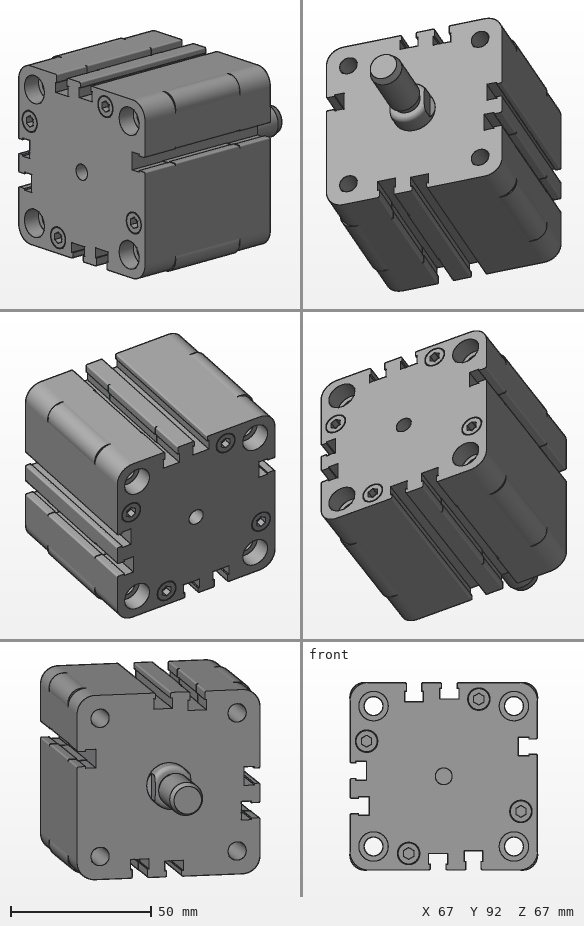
import cadquery as cq
WIDTH = 66.75
CORNER_SIZE = 6.5
CAP_CORNER_RADIUS = CORNER_SIZE
BARREL_CORNER_RADIUS = 5.5
CAP_LENGTH = 14.75
BARREL_LENGTH = 31.0
HALF_WIDTH = WIDTH / 2
HOUSING_LENGTH = BARREL_LENGTH + 2 * CAP_LENGTH

SLOT_NECK_WIDTH = 5.5
SLOT_POCKET_WIDTH = 6.7
SLOT_POCKET_HEIGHT = 3.7
SLOT_MOUTH_RADIUS = 0.6
CAP_DEEP_SLOT_OFFSET = -10.5
BARREL_DEEP_SLOT_OFFSET = -10.7
DEEP_SLOT_LIP = 3.1
SHALLOW_SLOT_OFFSET = 2.0
SHALLOW_SLOT_LIP = 2.1
SLOT_CLEARANCE = 1.0
SIDE_ANGLES = (0, 90, 180, 270)
SHALLOW_SLOT_ANGLES = (0, 90, 180)

MOUNT_SPACING = 50.0
MOUNT_HOLE_DIAMETER = 6.65
MOUNT_COUNTERBORE_DIAMETER = 10.5
MOUNT_COUNTERBORE_DEPTH = 6.8

SCREW_OFFSET = 12.5
SCREW_EDGE_DISTANCE = 5.9
SCREW_SEAT_DIAMETER = 8.0
SCREW_HEAD_DIAMETER = 7.5
SCREW_GAP_DEPTH = 4.0
HEX_CORNER_DIAMETER = 4.2
HEX_DEPTH = 3.0

CENTER_HOLE_DIAMETER = 6.0
CENTER_HOLE_DEPTH = 10.0

COLLAR_DIAMETER = 16.0
COLLAR_LENGTH = 7.5
COLLAR_FILLET = 1.9
FLATS_WIDTH = 13.0
NECK_DIAMETER = 10.0
THREAD_DIAMETER = 12.0
THREAD_START = 10.0
THREAD_RUNOUT = 0.6
ROD_LENGTH = 31.5
TIP_CHAMFER_LENGTH = 2.7


def front_plane(y):
    """Sketch plane at the given Y; local x is X, local y is Z, extrusion runs toward +Y."""
    return cq.Workplane("XZ", origin=(0, y, 0))


def prism(sketch, length):
    return sketch.extrude(-length)


def slot_cutter(offset, lip, angle, y, length):
    """Undercut slot opening through the top side, turned about Y to its own side."""
    neck = SLOT_NECK_WIDTH / 2
    mouth = neck + SLOT_MOUTH_RADIUS
    pocket = SLOT_POCKET_WIDTH / 2
    above = HALF_WIDTH + SLOT_CLEARANCE
    neck_top = HALF_WIDTH - SLOT_MOUTH_RADIUS
    lip_bottom = HALF_WIDTH - lip
    floor = lip_bottom - SLOT_POCKET_HEIGHT
    outline = (
        front_plane(y)
        .moveTo(offset - mouth, above)
        .lineTo(offset + mouth, above)
        .lineTo(offset + mouth, HALF_WIDTH)
        .radiusArc((offset + neck, neck_top), -SLOT_MOUTH_RADIUS)
        .lineTo(offset + neck, lip_bottom)
        .lineTo(offset + pocket, lip_bottom)
        .lineTo(offset + pocket, floor)
        .lineTo(offset - pocket, floor)
        .lineTo(offset - pocket, lip_bottom)
        .lineTo(offset - neck, lip_bottom)
        .lineTo(offset - neck, neck_top)
        .radiusArc((offset - mouth, HALF_WIDTH), -SLOT_MOUTH_RADIUS)
        .close()
    )
    return prism(outline, length).rotate((0, 0, 0), (0, 1, 0), -angle)


def rounded_square(y, corner_radius):
    """Square outline whose corner arcs all meet the sides at CORNER_SIZE from the corner."""
    a = HALF_WIDTH
    b = HALF_WIDTH - CORNER_SIZE
    outline = front_plane(y).moveTo(-b, a)
    for side_end, arc_end in [
        ((b, a), (a, b)),
        ((a, -b), (b, -a)),
        ((-b, -a), (-a, -b)),
        ((-a, b), (-b, a)),
    ]:
        outline = outline.lineTo(*side_end).radiusArc(arc_end, corner_radius)
    return outline.close()


def housing_section(y, length, corner_radius, deep_slot_offset):
    """One stretch of the slotted square profile."""
    section = prism(rounded_square(y, corner_radius), length)
    for angle in SIDE_ANGLES:
        section = section.cut(slot_cutter(deep_slot_offset, DEEP_SLOT_LIP, angle, y, length))
    for angle in SHALLOW_SLOT_ANGLES:
        section = section.cut(slot_cutter(SHALLOW_SLOT_OFFSET, SHALLOW_SLOT_LIP, angle, y, length))
    return section


def housing():
    cap_section = (CAP_CORNER_RADIUS, CAP_DEEP_SLOT_OFFSET)
    barrel_section = (BARREL_CORNER_RADIUS, BARREL_DEEP_SLOT_OFFSET)
    front_cap = housing_section(0, CAP_LENGTH, *cap_section)
    barrel = housing_section(CAP_LENGTH, BARREL_LENGTH, *barrel_section)
    rear_cap = housing_section(CAP_LENGTH + BARREL_LENGTH, CAP_LENGTH, *cap_section)
    return front_cap.union(barrel, clean=False).union(rear_cap, clean=False)


def mounting_hole_cutter():
    corners = front_plane(0).rect(MOUNT_SPACING, MOUNT_SPACING, forConstruction=True).vertices()
    holes = prism(corners.circle(MOUNT_HOLE_DIAMETER / 2), HOUSING_LENGTH)
    counterbores = prism(corners.circle(MOUNT_COUNTERBORE_DIAMETER / 2), MOUNT_COUNTERBORE_DEPTH)
    return holes.union(counterbores)


def screw_cutter():
    """Gap around each flush screw head, and its hex socket."""
    a = SCREW_OFFSET
    b = HALF_WIDTH - SCREW_EDGE_DISTANCE
    centers = front_plane(0).pushPoints([(a, b), (-b, a), (-a, -b), (b, -a)])
    seats = prism(centers.circle(SCREW_SEAT_DIAMETER / 2), SCREW_GAP_DEPTH)
    heads = prism(centers.circle(SCREW_HEAD_DIAMETER / 2), SCREW_GAP_DEPTH)
    hexagon = cq.Sketch().regularPolygon(HEX_CORNER_DIAMETER / 2, 6)
    sockets = prism(centers.placeSketch(hexagon), HEX_DEPTH)
    return seats.cut(heads).union(sockets)


def center_hole_cutter():
    return prism(front_plane(0).circle(CENTER_HOLE_DIAMETER / 2), CENTER_HOLE_DEPTH)


def collar():
    """Rod collar with a rounded outer edge and two milled wrench flats facing X."""
    body = prism(front_plane(HOUSING_LENGTH).circle(COLLAR_DIAMETER / 2), COLLAR_LENGTH)
    body = body.faces(">Y").edges().fillet(COLLAR_FILLET)
    flat = FLATS_WIDTH / 2
    radius = COLLAR_DIAMETER / 2
    end = HOUSING_LENGTH + COLLAR_LENGTH
    runout = HOUSING_LENGTH + radius - flat
    envelope = (
        cq.Workplane("XY")
        .polyline([
            (-radius, HOUSING_LENGTH),
            (radius, HOUSING_LENGTH),
            (flat, runout),
            (flat, end),
            (-flat, end),
            (-flat, runout),
        ])
        .close()
        .extrude(radius, both=True)
    )
    return body.intersect(envelope)


def threaded_end():
    """Neck and plain thread cylinder, turned about the Y axis."""
    neck = NECK_DIAMETER / 2
    thread = THREAD_DIAMETER / 2
    thread_start = HOUSING_LENGTH + THREAD_START
    tip = HOUSING_LENGTH + ROD_LENGTH
    profile = cq.Workplane("XY").polyline([
        (0, HOUSING_LENGTH),
        (neck, HOUSING_LENGTH),
        (neck, thread_start),
        (thread, thread_start + THREAD_RUNOUT),
        (thread, tip - TIP_CHAMFER_LENGTH),
        (neck, tip),
        (0, tip),
    ]).close()
    return profile.revolve(360, (0, 0, 0), (0, 1, 0))


result = housing()
for cutter in (mounting_hole_cutter(), screw_cutter(), center_hole_cutter()):
    result = result.cut(cutter, clean=False)
for rod_piece in (collar(), threaded_end()):
    result = result.union(rod_piece, clean=False)